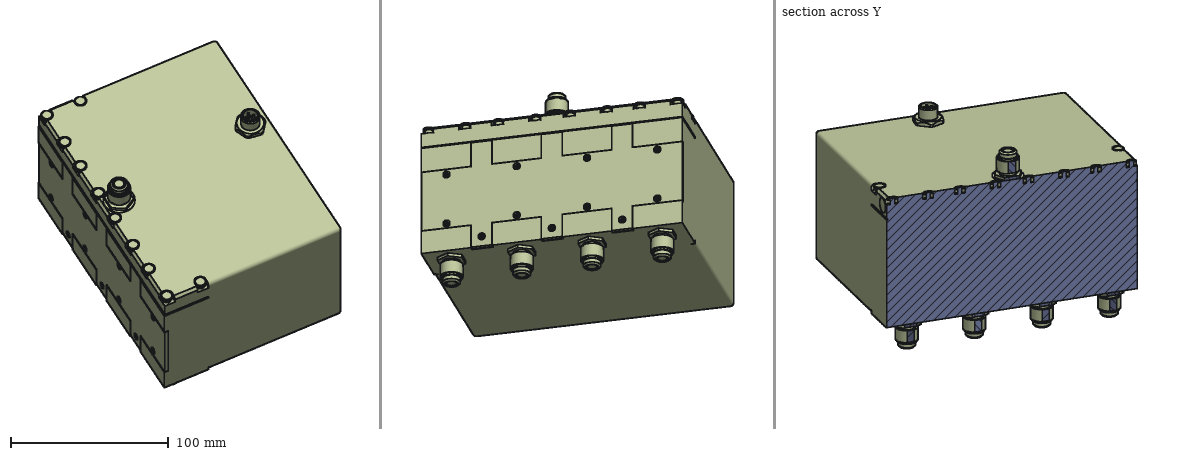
import cadquery as cq
import math

WIDTH = 171.3
HALF_WIDTH = WIDTH / 2
BLOCK_DEPTH = 31.7
BODY_DEPTH = 127.0
BODY_HEIGHT = 88.7
BOX_FILLET = 2.5

SEAM_HEIGHT = 74.8
SEAM_WIDTH = 0.7
SEAM_DEPTH = 0.5
LID_CHAMFER = 1.9

PLATE_SETBACK = 0.3
PLATE_THICKNESS = 2.5
PLATE_SIDE_INSET = 0.2
POCKET_DEPTH = PLATE_SETBACK + PLATE_THICKNESS
PLATE_BOTTOM = 0.5
UPPER_PAD_BOTTOM = 57.2
LOWER_PAD_TOP = 16.0
NECK_WIDTH = 13.7

CHANNEL_COUNT = 4
CHANNEL_PITCH = 46.0
CHANNEL_X = [(i - (CHANNEL_COUNT - 1) / 2) * CHANNEL_PITCH for i in range(CHANNEL_COUNT)]
NECK_X = [(i - (CHANNEL_COUNT - 2) / 2) * CHANNEL_PITCH for i in range(CHANNEL_COUNT - 1)]
FITTING_Y = 12.7

LID_SCREW_OFFSETS = [11.3, 35.6, 57.2, 81.5]
LID_SCREW_FRONT_X = [side * x for side in (-1, 1) for x in LID_SCREW_OFFSETS]
CORNER_SCREW_X = LID_SCREW_OFFSETS[-1]
LID_SCREW_FRONT_Y = 4.0
LID_SCREW_REAR_Y = 28.0
LID_POCKET_DIAMETER = 7.9
LID_SCREW_CAP_DIAMETER = 7.5
LID_SCREW_CAP_THICKNESS = 1.4
LID_SCREW_CAP_CHAMFER = 0.5
LID_SCREW_STEM_DIAMETER = 5.1
LID_POCKET_DEPTH = 4.3

PLATE_SCREW_DIAMETER = 4.5
PLATE_SCREW_RECESS = 0.3
PLATE_SCREW_ROWS = [19.4, 53.8]
NECK_SCREW_Z = 7.4
CROSS_LENGTH = 3.0
CROSS_WIDTH = 0.9
CROSS_DEPTH = 1.4

SPOTFACE_DIAMETER = 20.2
PLUG_DIAMETER = 10.0
PLUG_Z = 81.7
MARK_DEPTH = 0.2

FITTING_LENGTH = 17.6
HEX_FLATS = 16.0
HEX_HEIGHT = 2.0
NECK_TOP = 4.1
COLLAR_TOP = 12.5
RING_TOP = 13.9
TIP_CHAMFER = 1.2
FITTING_NECK_DIAMETER = 11.3
COLLAR_DIAMETER = 14.5
RING_DIAMETER = 12.7
TIP_RECESS_DEPTH = 0.5
TIP_RECESS_MOUTH = 8.0
TIP_RECESS_FLOOR = 6.3

CONNECTOR_X = -13.7
CONNECTOR_Y = 113.7
CONNECTOR_HEIGHT = 10.8
CONNECTOR_DIAMETER = 12.2
CONNECTOR_NUT_CORNERS = 20.9
CONNECTOR_NUT_DIAMETER = 19.9
CONNECTOR_NUT_CHAMFER = 1.4
CONNECTOR_NUT_HEIGHT = 3.0
CONNECTOR_NUT_ANGLE = 22
CONNECTOR_CHAMFER = 0.9
SOCKET_DIAMETER = 9.2
SOCKET_DEPTH = 6.0
PIN_DIAMETER = 1.2
PIN_LENGTH = 5.1
PIN_RADIUS = 2.5

CONTROL_HEIGHT = 2.2
CONTROL_TOTAL_HEIGHT = 2.9
REAR_NUT_X = 26.9
REAR_NUT_Z = 70.0
REAR_NUT_FLATS = 15.5
REAR_NUT_TIP_DIAMETER = 2.7
BUTTON_X = [-30.0, 7.7]
BUTTON_Z = 33.5
BUTTON_LENGTH = 8.5
BUTTON_WIDTH = 6.0
BUTTON_TIP_DIAMETER = 2.7
LED_Z = [41.5, 46.4]
LED_DIAMETER = 2.4
LED_HEIGHT = 0.7


def box(x0, x1, y0, y1, z0, z1):
    """Box between two opposite corners."""
    return cq.Workplane("XY").box(x1 - x0, y1 - y0, z1 - z0, centered=False).translate((x0, y0, z0))


def upright_cylinder(x, y, z, diameter, height):
    return cq.Workplane("XY", origin=(x, y, z)).circle(diameter / 2).extrude(height)


def across_corners(across_flats):
    """Corner diameter of a hexagon of the given width across flats."""
    return across_flats / math.cos(math.pi / 6)


def facing_front(y):
    """Work plane at depth y whose local axes are X and Z and whose normal points to -Y."""
    return cq.Workplane("XZ", origin=(0, y, 0))


def rear_box():
    blank = box(-HALF_WIDTH, HALF_WIDTH, BLOCK_DEPTH, BODY_DEPTH, 0, BODY_HEIGHT)
    return blank.edges(">Y or (|Y and (<X or >X))").fillet(BOX_FILLET)


def lid():
    blank = box(-HALF_WIDTH, HALF_WIDTH, PLATE_SETBACK, BLOCK_DEPTH, SEAM_HEIGHT, BODY_HEIGHT)
    return blank.edges(">Z and (<X or >X or <Y)").chamfer(LID_CHAMFER)


def plate_outline():
    """Cover plate silhouette: a wide band with necks running up and down between the pads."""
    outline = box(-HALF_WIDTH, HALF_WIDTH, 0, POCKET_DEPTH, LOWER_PAD_TOP, UPPER_PAD_BOTTOM)
    half_neck = NECK_WIDTH / 2
    for x in NECK_X:
        outline = outline.union(box(x - half_neck, x + half_neck, 0, POCKET_DEPTH, 0, SEAM_HEIGHT))
    return outline


def cover_plate():
    half = HALF_WIDTH - PLATE_SIDE_INSET
    trim = box(-half, half, PLATE_SETBACK, POCKET_DEPTH, PLATE_BOTTOM, SEAM_HEIGHT)
    return plate_outline().intersect(trim)


def lower_block():
    block = box(-HALF_WIDTH, HALF_WIDTH, 0, BLOCK_DEPTH, 0, SEAM_HEIGHT)
    return block.cut(plate_outline()).union(cover_plate())


def seam_groove():
    """Narrow groove below the lid, round the front and both sides of the block."""
    bottom = SEAM_HEIGHT - SEAM_WIDTH
    half = HALF_WIDTH - SEAM_DEPTH
    depth = PLATE_SETBACK + SEAM_DEPTH
    outer = box(-HALF_WIDTH, HALF_WIDTH, 0, BLOCK_DEPTH, bottom, SEAM_HEIGHT)
    return outer.cut(box(-half, half, depth, BLOCK_DEPTH, bottom, SEAM_HEIGHT))


def lid_pocket(x, y, open_front, open_side):
    """Round screw pocket, opened straight out through the front or the side of the lid."""
    floor = BODY_HEIGHT - LID_POCKET_DEPTH
    radius = LID_POCKET_DIAMETER / 2
    pocket = upright_cylinder(x, y, floor, LID_POCKET_DIAMETER, LID_POCKET_DEPTH)
    if open_front:
        pocket = pocket.union(box(x - radius, x + radius, 0, y, floor, BODY_HEIGHT))
    if open_side:
        inner, outer = sorted((x, math.copysign(HALF_WIDTH, x)))
        pocket = pocket.union(box(inner, outer, y - radius, y + radius, floor, BODY_HEIGHT))
    return pocket


def lid_screw(x, y):
    """Screw with a wide chamfered cap flush with the lid and a thinner stem below it."""
    floor = BODY_HEIGHT - LID_POCKET_DEPTH
    cap_bottom = BODY_HEIGHT - LID_SCREW_CAP_THICKNESS
    cap = upright_cylinder(x, y, cap_bottom, LID_SCREW_CAP_DIAMETER, LID_SCREW_CAP_THICKNESS)
    cap = cap.faces(">Z").chamfer(LID_SCREW_CAP_CHAMFER)
    return cap.union(upright_cylinder(x, y, floor, LID_SCREW_STEM_DIAMETER, cap_bottom - floor))


def add_lid_screws(body):
    places = [(x, LID_SCREW_FRONT_Y, True, abs(x) == CORNER_SCREW_X) for x in LID_SCREW_FRONT_X]
    places += [(x, LID_SCREW_REAR_Y, False, True) for x in (-CORNER_SCREW_X, CORNER_SCREW_X)]
    for x, y, open_front, open_side in places:
        body = body.cut(lid_pocket(x, y, open_front, open_side))
        body = body.union(lid_screw(x, y))
    return body


def cut_plate_screws(body):
    points = [(x, z) for x in CHANNEL_X for z in PLATE_SCREW_ROWS]
    points += [(x, NECK_SCREW_Z) for x in NECK_X]
    start = facing_front(PLATE_SETBACK).pushPoints(points)
    heads = start.circle(PLATE_SCREW_DIAMETER / 2).extrude(-PLATE_SCREW_RECESS)
    upright_slots = start.rect(CROSS_WIDTH, CROSS_LENGTH).extrude(-CROSS_DEPTH)
    level_slots = start.rect(CROSS_LENGTH, CROSS_WIDTH).extrude(-CROSS_DEPTH)
    return body.cut(heads).cut(upright_slots).cut(level_slots)


def cut_round_marks(body):
    """Spotface under the top fitting and the plug mark on the -X side of the lid."""
    spotface_z = BODY_HEIGHT - MARK_DEPTH
    spotface = upright_cylinder(0, FITTING_Y, spotface_z, SPOTFACE_DIAMETER, MARK_DEPTH)
    for x in LID_SCREW_FRONT_X:
        spotface = spotface.cut(lid_screw(x, LID_SCREW_FRONT_Y))
    plug = (
        cq.Workplane("YZ", origin=(-HALF_WIDTH, FITTING_Y, PLUG_Z))
        .circle(PLUG_DIAMETER / 2)
        .extrude(MARK_DEPTH)
    )
    return body.cut(spotface).cut(plug)


def connector():
    """Round plug connector with its nut, socket and five contact pins."""
    base = cq.Workplane("XY", origin=(CONNECTOR_X, CONNECTOR_Y, BODY_HEIGHT))
    nut = (
        base.transformed(rotate=(0, 0, CONNECTOR_NUT_ANGLE))
        .polygon(6, CONNECTOR_NUT_CORNERS)
        .extrude(CONNECTOR_NUT_HEIGHT)
    )
    turned_blank = base.circle(CONNECTOR_NUT_DIAMETER / 2).extrude(CONNECTOR_NUT_HEIGHT)
    nut = nut.intersect(turned_blank.faces(">Z").chamfer(CONNECTOR_NUT_CHAMFER))
    barrel = base.circle(CONNECTOR_DIAMETER / 2).extrude(CONNECTOR_HEIGHT)
    barrel = barrel.faces(">Z").chamfer(CONNECTOR_CHAMFER)
    floor = base.workplane(offset=CONNECTOR_HEIGHT - SOCKET_DEPTH)
    socket = floor.circle(SOCKET_DIAMETER / 2).extrude(SOCKET_DEPTH)
    pin_points = [(0, 0), (PIN_RADIUS, 0), (-PIN_RADIUS, 0), (0, PIN_RADIUS), (0, -PIN_RADIUS)]
    pins = floor.pushPoints(pin_points).circle(PIN_DIAMETER / 2).extrude(PIN_LENGTH)
    return nut.union(barrel).cut(socket).union(pins)


def rear_controls():
    """Hexagonal nut, two oblong buttons and two small lamps standing on the rear face."""
    face = facing_front(BODY_DEPTH)
    nut_face = face.center(REAR_NUT_X, REAR_NUT_Z)
    controls = nut_face.polygon(6, across_corners(REAR_NUT_FLATS)).extrude(-CONTROL_HEIGHT)
    controls = controls.union(nut_face.circle(REAR_NUT_TIP_DIAMETER / 2).extrude(-CONTROL_TOTAL_HEIGHT))
    buttons = face.pushPoints([(x, BUTTON_Z) for x in BUTTON_X])
    controls = controls.union(buttons.slot2D(BUTTON_LENGTH, BUTTON_WIDTH).extrude(-CONTROL_HEIGHT))
    controls = controls.union(buttons.circle(BUTTON_TIP_DIAMETER / 2).extrude(-CONTROL_TOTAL_HEIGHT))
    lamps = face.pushPoints([(REAR_NUT_X, z) for z in LED_Z])
    return controls.union(lamps.circle(LED_DIAMETER / 2).extrude(-LED_HEIGHT))


def make_housing():
    block = lower_block().union(lid()).cut(seam_groove())
    block = add_lid_screws(block)
    block = cut_plate_screws(block)
    block = cut_round_marks(block)
    rear = rear_box().union(connector()).union(rear_controls())
    return block.union(rear, clean=False)


def make_fitting():
    """Fitting standing on Z = 0: hexagon flange, necked collar and chamfered tip."""
    neck = FITTING_NECK_DIAMETER / 2
    collar = COLLAR_DIAMETER / 2
    ring = RING_DIAMETER / 2
    profile = [
        (0, 0),
        (neck, 0),
        (neck, NECK_TOP),
        (collar, NECK_TOP),
        (collar, COLLAR_TOP),
        (ring, COLLAR_TOP),
        (ring, RING_TOP),
        (neck, RING_TOP),
        (neck, FITTING_LENGTH - TIP_CHAMFER),
        (neck - TIP_CHAMFER, FITTING_LENGTH),
        (TIP_RECESS_MOUTH / 2, FITTING_LENGTH),
        (TIP_RECESS_FLOOR / 2, FITTING_LENGTH - TIP_RECESS_DEPTH),
        (0, FITTING_LENGTH - TIP_RECESS_DEPTH),
    ]
    stem = cq.Workplane("XZ").polyline(profile).close().revolve(360, (0, 0), (0, 1))
    flange = cq.Workplane("XY").polygon(6, across_corners(HEX_FLATS)).extrude(HEX_HEIGHT)
    return stem.union(flange)


def top_fitting():
    return make_fitting().translate((0, FITTING_Y, BODY_HEIGHT - MARK_DEPTH))


def bottom_fitting(x):
    """Fitting hanging from the bottom face, its hexagon turned by a quarter turn."""
    hanging = make_fitting().rotate((0, 0, 0), (1, 0, 0), 180).rotate((0, 0, 0), (0, 0, 1), 90)
    return hanging.translate((x, FITTING_Y, 0))


housing = make_housing()
fittings = [top_fitting()] + [bottom_fitting(x) for x in CHANNEL_X]
bodies = [body.solids().val() for body in [housing] + fittings]
result = cq.Compound.makeCompound(bodies)